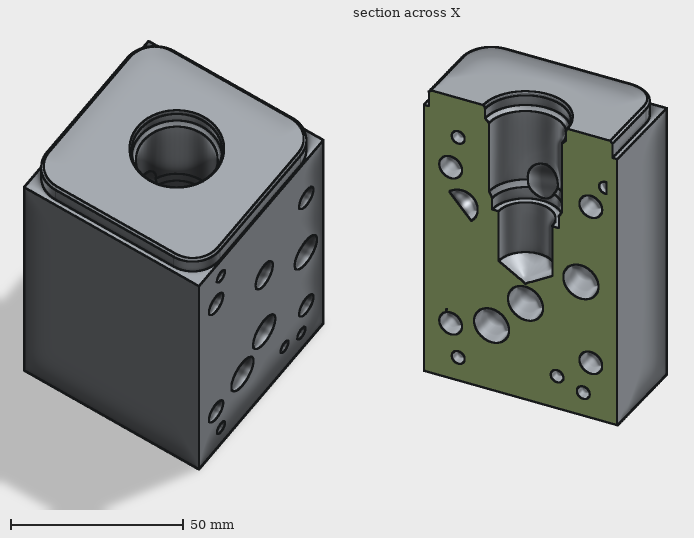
import cadquery as cq
import math

block_x, block_y, block_height = 61.9, 63.5, 92.0
total_height = 97.6
mounting_face = -block_x / 2
mid_height = block_height / 2
overrun = 9.8

cap_x, cap_y = 61.2, 60.3
cap_corner_radius = 9.7
cap_chamfer = 0.8

cavity_y = 1.6
mouth_diameter, counterbore_diameter = 27.5, 26.4
lead_in_diameter, lead_in_depth = 26.8, 0.6
lead_in_end_depth = 1.1
counterbore_depth, counterbore_taper = 4.4, 1.3
bore_diameter, bore_depth, bore_taper = 23.8, 29.3, 2.0
lower_bore_diameter, lower_bore_depth = 21.7, 35.15
nose_diameter, nose_depth = 17.5, 52.3
drill_point_angle = 118.0

bolt_diameter, bolt_pitch_y, bolt_pitch_z = 7.3, 46.0, 53.9
pin_diameter, pin_pitch_y, pin_pitch_z = 4.1, 41.0, 76.0
pilot_diameter, pilot_y, pilot_offset_z = 4.0, 11.9, 34.9

blind_depth_x = block_x / 2
upper_pilot_slope_y = 0.52
sloping_pin_slope_z, sloping_pin_depth_x = 0.25, 19.5

port_diameter = 11.3
tank_y, tank_offset_z = -9.6, 23.7
upper_tank_diameter, upper_tank_slope_y, upper_tank_slope_z = 10.6, -0.33, -0.3
work_offset_z = 10.3
lower_work_drop = 5.1
upper_work_diameter, upper_work_slope_z = 9.9, 0.65
pressure_y, pressure_shift_y = 16.7, 6.1

feed_diameter = 8.8
feed_start_z, feed_slope_z = 59.0, 0.5
feed_end_x = 0.5


def point_height(diameter):
    """Length of the conical point left by a drill."""
    return diameter / 2 / math.tan(math.radians(drill_point_angle / 2))


def face_drilling(y, z, diameter, depth_x, slope_y=0.0, slope_z=0.0):
    """Drilling from (y, z) on the mounting face that ends depth_x inside the block."""
    axis = cq.Vector(1, slope_y, slope_z)
    start = cq.Vector(mounting_face, y, z) - axis * overrun
    length = (depth_x + overrun) * axis.Length
    return cq.Workplane(cq.Solid.makeCylinder(diameter / 2, length, start, axis))


def through_drilling(y, z, diameter, slope_y=0.0, slope_z=0.0):
    return face_drilling(y, z, diameter, block_x + overrun, slope_y, slope_z)


def make_body():
    block = cq.Workplane().box(block_x, block_y, block_height, centered=(True, True, False))
    cap = (
        cq.Workplane()
        .workplane(offset=block_height)
        .rect(cap_x, cap_y)
        .extrude(total_height - block_height)
        .edges("|Z")
        .fillet(cap_corner_radius)
        .faces(">Z")
        .edges()
        .chamfer(cap_chamfer)
    )
    return block.union(cap)


def make_cavity():
    nose_tip_depth = nose_depth + point_height(nose_diameter)
    steps = [
        (0, 0),
        (mouth_diameter, 0),
        (lead_in_diameter, lead_in_depth),
        (counterbore_diameter, lead_in_end_depth),
        (counterbore_diameter, counterbore_depth),
        (bore_diameter, counterbore_depth + counterbore_taper),
        (bore_diameter, bore_depth),
        (lower_bore_diameter, bore_depth + bore_taper),
        (lower_bore_diameter, lower_bore_depth),
        (nose_diameter, lower_bore_depth),
        (nose_diameter, nose_depth),
        (0, nose_tip_depth),
    ]
    profile = [(diameter / 2, total_height - depth) for diameter, depth in steps]
    cavity = cq.Workplane("XZ").polyline(profile).close().revolve(360, (0, 0, 0), (0, 1, 0))
    return cavity.translate((0, cavity_y, 0))


def make_mounting_holes():
    holes = []
    for side_y in (-1, 1):
        for side_z in (-1, 1):
            bolt_z = mid_height + side_z * bolt_pitch_z / 2
            holes.append(through_drilling(side_y * bolt_pitch_y / 2, bolt_z, bolt_diameter))

            pin_y = side_y * pin_pitch_y / 2
            pin_z = mid_height + side_z * pin_pitch_z / 2
            if side_y > 0 and side_z > 0:
                pin = face_drilling(
                    pin_y, pin_z, pin_diameter, sloping_pin_depth_x, slope_z=sloping_pin_slope_z
                )
            else:
                pin = through_drilling(pin_y, pin_z, pin_diameter)
            holes.append(pin)
    return holes


def make_pilot_holes():
    lower = through_drilling(pilot_y, mid_height - pilot_offset_z, pilot_diameter)
    upper = face_drilling(
        pilot_y, mid_height + pilot_offset_z, pilot_diameter, blind_depth_x, slope_y=upper_pilot_slope_y
    )
    return [lower, upper]


def make_ports():
    lower_tank = through_drilling(tank_y, mid_height - tank_offset_z, port_diameter)
    upper_tank = face_drilling(
        tank_y,
        mid_height + tank_offset_z,
        upper_tank_diameter,
        blind_depth_x,
        upper_tank_slope_y,
        upper_tank_slope_z,
    )
    lower_work = through_drilling(
        cavity_y, mid_height - work_offset_z, port_diameter, slope_z=-lower_work_drop / block_x
    )
    upper_work = face_drilling(
        cavity_y, mid_height + work_offset_z, upper_work_diameter, blind_depth_x, slope_z=upper_work_slope_z
    )
    pressure = through_drilling(pressure_y, mid_height, port_diameter, slope_y=pressure_shift_y / block_x)
    return [lower_tank, upper_tank, lower_work, upper_work, pressure]


def make_feed():
    axis = cq.Vector(-1, 0, -feed_slope_z)
    face_point = cq.Vector(block_x / 2, cavity_y, feed_start_z)
    travel_x = block_x / 2 - feed_end_x
    start = face_point - axis * overrun
    end = face_point + axis * travel_x
    radius = feed_diameter / 2
    shank = cq.Solid.makeCylinder(radius, (travel_x + overrun) * axis.Length, start, axis)
    point = cq.Solid.makeCone(radius, 0, point_height(feed_diameter), end, axis)
    return cq.Workplane(shank).union(cq.Workplane(point))


result = make_body().cut(make_cavity())
for drilling in make_mounting_holes() + make_pilot_holes() + make_ports() + [make_feed()]:
    result = result.cut(drilling)